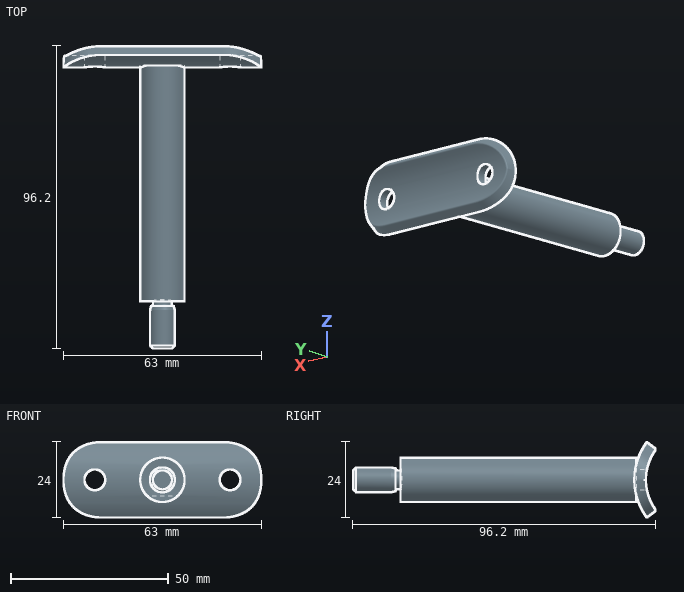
import cadquery as cq
import math

OVERALL_LENGTH = 96.2

PLATE_LENGTH = 63.0
PLATE_HEIGHT = 24.0
PLATE_OUTER_RADIUS = 20.0
PLATE_THICKNESS = 3.75
REAR_FILLET = 0.5
CORNER_RADIUS = PLATE_HEIGHT / 2
SCREW_HOLE_DIAMETER = 6.5
SCREW_HOLE_SPACING = 43.0

ROD_DIAMETER = 14.1
ROD_LENGTH = 75.0
ROD_END_HOLLOW = 0.6

STUD_DIAMETER = 8.0
STUD_PROJECTION = 15.0
STUD_NECK_DIAMETER = 6.1
STUD_TIP_CHAMFER = (STUD_DIAMETER - STUD_NECK_DIAMETER) / 2
NECK_LENGTH = 1.5
NECK_FILLET = 0.7
COLLAR_LENGTH = 0.2
SHOULDER_TAPER_LENGTH = 1.2

EDGE_ANGLE = math.asin(PLATE_HEIGHT / 2 / PLATE_OUTER_RADIUS)
PLATE_INNER_RADIUS = PLATE_OUTER_RADIUS - PLATE_THICKNESS
FILLET_CENTER_REACH = math.sqrt((PLATE_INNER_RADIUS + REAR_FILLET) ** 2 - REAR_FILLET**2)
PLATE_REAR_Y = (
    PLATE_OUTER_RADIUS
    - FILLET_CENTER_REACH * math.cos(EDGE_ANGLE)
    + REAR_FILLET * (1 - math.sin(EDGE_ANGLE))
)
STUD_TIP_Y = PLATE_REAR_Y - OVERALL_LENGTH
ROD_FRONT_Y = STUD_TIP_Y + STUD_PROJECTION
ROD_REAR_Y = ROD_FRONT_Y + ROD_LENGTH


def y_cylinder(diameter, start_y, end_y, x=0.0):
    """Solid cylinder parallel to Y between two Y positions."""
    length = end_y - start_y
    return cq.Workplane("XZ", origin=(x, start_y, 0)).circle(diameter / 2).extrude(-length)


def arc_point(radius, angle):
    """(Y, Z) point on a circle about the tube axis, angle measured from the crest."""
    return (PLATE_OUTER_RADIUS - radius * math.cos(angle), radius * math.sin(angle))


def make_curved_strip():
    """Tube sector with radial long edges and square ends."""
    return (
        cq.Workplane("YZ", origin=(-PLATE_LENGTH / 2, 0, 0))
        .moveTo(*arc_point(PLATE_OUTER_RADIUS, -EDGE_ANGLE))
        .threePointArc((0, 0), arc_point(PLATE_OUTER_RADIUS, EDGE_ANGLE))
        .lineTo(*arc_point(PLATE_INNER_RADIUS, EDGE_ANGLE))
        .threePointArc((PLATE_THICKNESS, 0), arc_point(PLATE_INNER_RADIUS, -EDGE_ANGLE))
        .close()
        .extrude(PLATE_LENGTH)
    )


def make_corner_envelope():
    """Block whose top is the strip's upper edge plane, with the two top corners rounded.

    The rounds run along the radial direction of that edge plane.
    """
    block_height = 2 * PLATE_HEIGHT
    return (
        cq.Workplane("XZ", origin=(0, PLATE_OUTER_RADIUS, -block_height / 2))
        .rect(PLATE_LENGTH, block_height)
        .extrude(2 * PLATE_OUTER_RADIUS)
        .edges("|Y and >Z")
        .fillet(CORNER_RADIUS)
        .rotate((0, PLATE_OUTER_RADIUS, 0), (1, PLATE_OUTER_RADIUS, 0), -math.degrees(EDGE_ANGLE))
    )


def make_plate():
    """Curved plate with rounded ends, two screw holes and a flat-bottomed seat for the rod."""
    upper_envelope = make_corner_envelope()
    lower_envelope = upper_envelope.mirror("XY")
    plate = make_curved_strip().intersect(upper_envelope).intersect(lower_envelope)

    rear_face = cq.selectors.NearestToPointSelector((0, PLATE_THICKNESS, 0))
    plate = plate.faces(rear_face).edges().fillet(REAR_FILLET)

    for hole_x in (-SCREW_HOLE_SPACING / 2, SCREW_HOLE_SPACING / 2):
        plate = plate.cut(y_cylinder(SCREW_HOLE_DIAMETER, 0, PLATE_REAR_Y, hole_x))
    return plate.cut(y_cylinder(ROD_DIAMETER, ROD_FRONT_Y, ROD_REAR_Y))


def make_rod():
    """Round rod with a shallow conical hollow in its front face."""
    rod = y_cylinder(ROD_DIAMETER, ROD_FRONT_Y, ROD_REAR_Y)
    hollow = (
        cq.Workplane("XY", origin=(0, ROD_FRONT_Y, 0))
        .lineTo(ROD_DIAMETER / 2, 0)
        .lineTo(0, ROD_END_HOLLOW)
        .close()
        .revolve(360, (0, 0, 0), (0, 1, 0))
    )
    return rod.cut(hollow)


def make_stud():
    """Stud turned about Y; its rear end is a cone that fills the middle of the rod's hollow."""
    radius = STUD_DIAMETER / 2
    neck_radius = STUD_NECK_DIAMETER / 2
    shoulder_y = ROD_FRONT_Y - NECK_LENGTH
    collar_y = shoulder_y - COLLAR_LENGTH
    neck_rear_y = ROD_FRONT_Y + ROD_END_HOLLOW * (1 - STUD_NECK_DIAMETER / ROD_DIAMETER)
    profile = (
        cq.Workplane("XY")
        .moveTo(0, STUD_TIP_Y)
        .lineTo(neck_radius, STUD_TIP_Y)
        .lineTo(radius, STUD_TIP_Y + STUD_TIP_CHAMFER)
        .lineTo(radius, collar_y - SHOULDER_TAPER_LENGTH)
        .lineTo(neck_radius + NECK_FILLET, collar_y)
        .lineTo(neck_radius + NECK_FILLET, shoulder_y)
        .radiusArc((neck_radius, shoulder_y + NECK_FILLET), NECK_FILLET)
        .lineTo(neck_radius, neck_rear_y)
        .lineTo(0, ROD_FRONT_Y + ROD_END_HOLLOW)
        .close()
    )
    return profile.revolve(360, (0, 0, 0), (0, 1, 0))


plate = make_plate()
rod = make_rod()
stud = make_stud()
bodies = [body.solids().val() for body in (plate, rod, stud)]
result = cq.Compound.makeCompound(bodies)